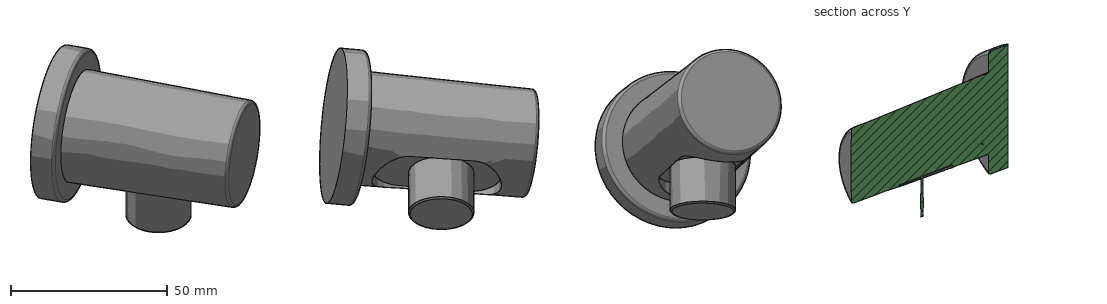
import cadquery as cq

total_length = 64.3

flange_diameter = 50.0
flange_thickness = 8.1
flange_fillet = 1.0

body_root_radius = 18.4
body_end_radius = 17.4
crown_height = 0.4
end_fillet = 1.0

pipe_diameter = 20.95
pipe_center_x = 35.1
pipe_bottom_z = -29.0
pipe_chamfer = 0.5

slot_start_x = 12.7
slot_end_x = 54.5
slot_floor_z = -13.8


def make_flange():
    disc = cq.Workplane("YZ").circle(flange_diameter / 2).extrude(flange_thickness)
    return disc.faces(">X").edges().fillet(flange_fillet)


def make_body():
    """Revolve the tapered profile, closed at the far end by a shallow spherical crown."""
    rim_x = total_length - crown_height
    crown_radius = (body_end_radius**2 + crown_height**2) / (2 * crown_height)
    profile = (
        cq.Workplane("XY")
        .moveTo(0, 0)
        .lineTo(0, body_root_radius)
        .lineTo(flange_thickness, body_root_radius)
        .lineTo(rim_x, body_end_radius)
        .radiusArc((total_length, 0), crown_radius)
        .close()
    )
    body = profile.revolve(360, (0, 0, 0), (1, 0, 0))
    return body.edges("%CIRCLE").filter(lambda edge: edge.IsClosed()).edges(">X").fillet(end_fillet)


def make_slot():
    slot_center_x = (slot_start_x + slot_end_x) / 2
    return (
        cq.Workplane("XY", origin=(slot_center_x, 0, pipe_bottom_z))
        .slot2D(slot_end_x - slot_start_x, pipe_diameter)
        .extrude(slot_floor_z - pipe_bottom_z)
    )


def make_pipe():
    """Vertical pipe running from its chamfered lower end up to the body axis."""
    pipe = (
        cq.Workplane("XY", origin=(pipe_center_x, 0, pipe_bottom_z))
        .circle(pipe_diameter / 2)
        .extrude(-pipe_bottom_z)
    )
    return pipe.faces("<Z").edges().chamfer(pipe_chamfer)


result = make_body().cut(make_slot()).union(make_flange()).union(make_pipe())